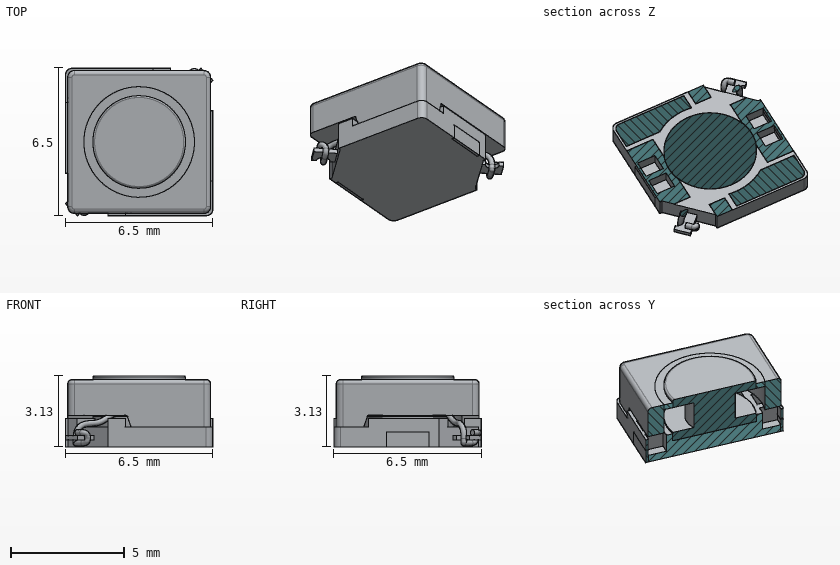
import cadquery as cq
import math

HALF_TURNS = (0, 180)
CORNER_ANGLES = (225, 45)

BASE_SIZE = 6.5
BASE_HALF = BASE_SIZE / 2
FLOOR_Z = 0.885
BLOCK_TOP_Z = 1.27
CORNER_RADIUS = 0.3
CUT_START = 1.385
CUT_STEP = 0.125
DIAGONAL_U = (BASE_HALF - CUT_STEP + CUT_START) / math.sqrt(2)

LONG_BLOCK_INNER_X = 1.94
LONG_BLOCK_Y = (-1.77, 1.73)
SHORT_BLOCK_X = (-CUT_START, -0.61)
SHORT_BLOCK_INNER_Y = 2.51

POCKET_X = (-3.12, -2.275)
POCKET_NEAR_Y = 0.14
POCKET_FAR_Y = 0.91
POCKET_FLOOR_Z = 0.39

PAD_WIDTH = 1.865
PAD_HEIGHT = 0.67
PAD_DEPTH = 0.13

SHIELD_SIZE = 6.3
SHIELD_TOP_Z = 2.97
SHIELD_EDGE_FILLET = 0.195
BORE_RADIUS = 2.44
OPENING_TOP_Z = 1.4
OPENING_X = -0.54
OPENING_Y = 1.755
OPENING_FLARE = 0.18

CORE_TOP_Z = 3.13
FLANGE_RADIUS = 2.04
FLANGE_THICKNESS = 0.455
FLANGE_FILLET = 0.08
POST_RADIUS = 1.12
UPPER_FLANGE_Z = CORE_TOP_Z - FLANGE_THICKNESS

TAB_HALF_WIDTH = 0.38
TAB_OUTER_U = BASE_SIZE / math.sqrt(2) - TAB_HALF_WIDTH
TAB_Z = (0.31, 0.51)
NOTCH_U = 3.72
NOTCH_RADIUS = 0.3

WIRE_RADIUS = 0.13
HOOK_U = 3.95
HOOK_START_V = 0.085
HOOK_Z = TAB_Z[1] + WIRE_RADIUS
RETURN_Z = TAB_Z[0] - WIRE_RADIUS
SIDE_V = TAB_HALF_WIDTH + WIRE_RADIUS
SIDE_Z = 0.39
BEND_START_V = 0.215
ELBOW_V = -0.22
RISER_TOP_Z = 0.38
LEAD_POINTS = (
    (3.59, -0.16, 0.845),
    (3.4, -0.09, 0.975),
    (3.125, 0.09, 1.04),
    (2.8, 0.215, 1.07),
    (2.33, 0.35, 1.295),
    (2.08, 0.45, 1.44),
    (1.63, 0.715, 1.535),
)


def box_between(x_range, y_range, z_range):
    """Box filling the given coordinate ranges."""
    (x0, x1), (y0, y1), (z0, z1) = x_range, y_range, z_range
    return cq.Workplane("XY").box(x1 - x0, y1 - y0, z1 - z0, centered=False).translate((x0, y0, z0))


def cylinder(radius, bottom_z, top_z):
    """Cylinder about the Z axis."""
    return cq.Workplane("XY").workplane(offset=bottom_z).circle(radius).extrude(top_z - bottom_z)


def turned(body, angle):
    """Body turned about the Z axis."""
    return body.rotate((0, 0, 0), (0, 0, 1), angle)


def make_pad(angle):
    pad = box_between((-BASE_HALF, -BASE_HALF + PAD_DEPTH), (-PAD_WIDTH / 2, PAD_WIDTH / 2), (0, PAD_HEIGHT))
    return turned(pad, angle)


def make_corner_cut():
    """Cutter that takes the -X -Y corner off the base, leaving a short step at both ends."""
    step = BASE_HALF - CUT_STEP
    outline = [
        (-BASE_HALF, -CUT_START),
        (-step, -CUT_START),
        (-CUT_START, -step),
        (-CUT_START, -BASE_HALF),
        (-BASE_HALF, -BASE_HALF),
    ]
    return cq.Workplane("XY").polyline(outline).close().extrude(BLOCK_TOP_Z)


def make_base(pads):
    rounded_corners = cq.selectors.BoxSelector((-BASE_SIZE, 0, 0), (0, BASE_SIZE, FLOOR_Z))
    rounded_corners += cq.selectors.BoxSelector((0, -BASE_SIZE, 0), (BASE_SIZE, 0, FLOOR_Z))
    base = cq.Workplane("XY").rect(BASE_SIZE, BASE_SIZE).extrude(FLOOR_Z)
    base = base.edges("|Z").edges(rounded_corners).fillet(CORNER_RADIUS)

    block_z = (FLOOR_Z, BLOCK_TOP_Z)
    long_block = box_between((-BASE_HALF, -LONG_BLOCK_INNER_X), LONG_BLOCK_Y, block_z)
    core_seat = cylinder(FLANGE_RADIUS, FLOOR_Z, BLOCK_TOP_Z)
    long_block = long_block.cut(core_seat)
    short_block = box_between(SHORT_BLOCK_X, (-BASE_HALF, -SHORT_BLOCK_INNER_Y), block_z)
    pocket = box_between(POCKET_X, (POCKET_NEAR_Y, POCKET_FAR_Y), (POCKET_FLOOR_Z, BLOCK_TOP_Z))
    pockets = pocket.union(pocket.mirror("XZ"))
    corner_cut = make_corner_cut()
    for angle in HALF_TURNS:
        base = base.union(turned(long_block, angle)).union(turned(short_block, angle))
        base = base.cut(turned(corner_cut, angle)).cut(turned(pockets, angle))
    for pad in pads:
        base = base.cut(pad)
    return base


def make_lead_opening():
    """Cutter for the opening over the -X -Y corner, whose inner walls flare outward going down.

    It reaches well past the outer sides of the shield.
    """
    height = OPENING_TOP_Z - FLOOR_Z
    flare_angle = math.degrees(math.atan(OPENING_FLARE / height))
    width = OPENING_X + BASE_SIZE
    depth = OPENING_Y + BASE_SIZE
    return (
        cq.Workplane("XY", origin=(OPENING_X - width / 2, OPENING_Y - depth / 2, OPENING_TOP_Z))
        .rect(width, depth)
        .extrude(-height, taper=-flare_angle)
    )


def make_shield():
    shield = cq.Workplane("XY").workplane(offset=FLOOR_Z).rect(SHIELD_SIZE, SHIELD_SIZE)
    shield = shield.extrude(SHIELD_TOP_Z - FLOOR_Z).edges("|Z").fillet(CORNER_RADIUS)
    shield = shield.faces(">Z").edges().fillet(SHIELD_EDGE_FILLET)
    shield = shield.cut(cylinder(BORE_RADIUS, FLOOR_Z, SHIELD_TOP_Z))
    opening = make_lead_opening()
    for angle in HALF_TURNS:
        shield = shield.cut(turned(opening, angle))
    return shield


def make_core():
    lower_flange = cylinder(FLANGE_RADIUS, FLOOR_Z, FLOOR_Z + FLANGE_THICKNESS)
    post = cylinder(POST_RADIUS, FLOOR_Z, UPPER_FLANGE_Z)
    upper_flange = cylinder(FLANGE_RADIUS, UPPER_FLANGE_Z, CORE_TOP_Z)
    upper_flange = upper_flange.faces(">Z").edges().fillet(FLANGE_FILLET)
    return lower_flange.union(post).union(upper_flange)


def make_ring():
    outside = cylinder(BORE_RADIUS, UPPER_FLANGE_Z, SHIELD_TOP_Z)
    return outside.cut(cylinder(FLANGE_RADIUS, UPPER_FLANGE_Z, SHIELD_TOP_Z))


def wire_along(edges):
    """Round wire swept along edges that join smoothly."""
    path = cq.Wire.assembleEdges(edges)
    start = cq.Plane(origin=edges[0].startPoint(), normal=edges[0].tangentAt(0))
    return cq.Workplane(start).circle(WIRE_RADIUS).sweep(cq.Workplane(path))


def make_wire():
    """Lead wire in corner coordinates: hook round the tab, sharp elbow, then the rising lead."""
    across = cq.Vector(0, 1, 0)
    up = cq.Vector(0, 0, 1)
    hook_start = cq.Vector(HOOK_U, HOOK_START_V, HOOK_Z)
    hook_end = cq.Vector(HOOK_U, TAB_HALF_WIDTH, HOOK_Z)
    side = cq.Vector(NOTCH_U, SIDE_V, SIDE_Z)
    return_start = cq.Vector(NOTCH_U, BEND_START_V, RETURN_Z)
    elbow = cq.Vector(NOTCH_U, ELBOW_V, RETURN_Z)
    riser_top = cq.Vector(NOTCH_U, ELBOW_V, RISER_TOP_Z)

    hook = wire_along([
        cq.Edge.makeLine(hook_start, hook_end),
        cq.Edge.makeSpline([hook_end, side], tangents=[across, -up]),
        cq.Edge.makeSpline([side, return_start], tangents=[-up, -across]),
        cq.Edge.makeLine(return_start, elbow),
    ])
    lead_points = [cq.Vector(*point) for point in LEAD_POINTS]
    end_direction = (lead_points[-1] - lead_points[-2]).normalized()
    lead = wire_along([
        cq.Edge.makeLine(elbow, riser_top),
        cq.Edge.makeSpline([riser_top, *lead_points], tangents=[up, end_direction], scale=False),
    ])
    elbow_ball = cq.Workplane("XY").sphere(WIRE_RADIUS).translate(elbow)
    return hook.union(elbow_ball).union(lead).clean()


def make_tab(wire):
    """Flat tab in corner coordinates, with a half-round notch that the wire passes through."""
    tab = box_between((DIAGONAL_U, TAB_OUTER_U), (-TAB_HALF_WIDTH, TAB_HALF_WIDTH), TAB_Z)
    notch = cq.Workplane("XY").center(NOTCH_U, -TAB_HALF_WIDTH).circle(NOTCH_RADIUS).extrude(TAB_Z[1])
    return tab.cut(notch).cut(wire)


pads = [make_pad(angle) for angle in HALF_TURNS]
base = make_base(pads)
shield = make_shield()
core = make_core()
ring = make_ring()
corner_wire = make_wire()
corner_tab = make_tab(corner_wire)
wires = [turned(corner_wire, angle) for angle in CORNER_ANGLES]
tabs = [turned(corner_tab, angle) for angle in CORNER_ANGLES]

bodies = [base, shield, core, ring, *pads, *tabs, *wires]
result = cq.Compound.makeCompound([body.solids().val() for body in bodies])